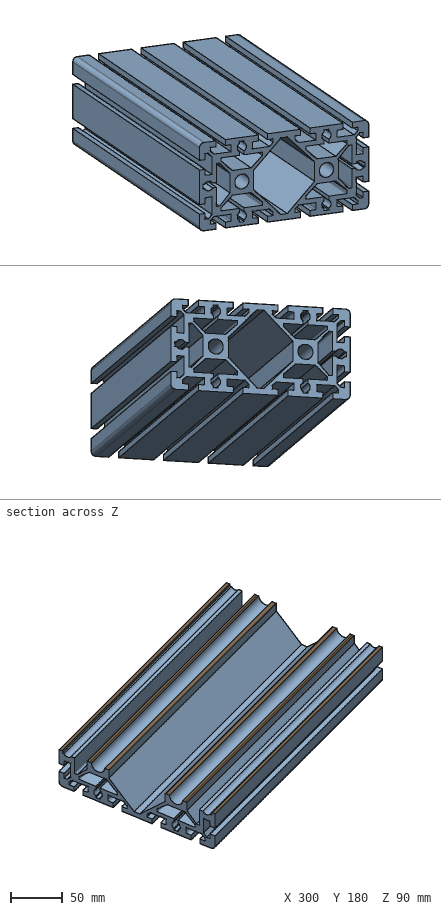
import cadquery as cq

length = 300.0
cell = 90.0
half_cell = cell / 2
corner_radius = 4.8

slot_offset = cell / 4
slot_mouth = 10.0
slot_lip = 6.0
slot_floor = 13.2
slot_inner = 11.5
slot_outer = 33.3
slot_corner_radius = 1.2
slot_web_offset = 2.5

wall_depth = 18.0
groove_tip = 4.0
groove_bore_depth = 10.0
groove_radius = 4.8
neck_half = 2.5

core_half = 12.5
core_hole_diameter = 15.0
web_inner_offset = 2.7
web_outer_offset = 1.8
cavity_half = 22.0
cavity_corner_radius = 0.5

diamond_top = half_cell - slot_lip

cell_centers = (-half_cell, half_cell)


def prism(outline):
    """Extrude a closed YZ outline over the full length."""
    return outline.close().extrude(length)


def section_plane():
    return cq.Workplane("YZ", origin=(-length / 2, 0, 0))


def t_slot():
    """T-slot on the +Z face, on the +Y side of a cell centred on the axis."""
    mouth_near = slot_offset - slot_mouth / 2
    mouth_far = slot_offset + slot_mouth / 2
    lip = half_cell - slot_lip
    floor = half_cell - slot_floor
    slot = prism(
        section_plane()
        .moveTo(mouth_near, half_cell)
        .lineTo(mouth_near, lip)
        .lineTo(slot_inner, lip)
        .lineTo(slot_inner, floor)
        .lineTo(floor - slot_web_offset, floor)
        .lineTo(slot_outer, slot_outer + slot_web_offset)
        .lineTo(slot_outer, lip)
        .lineTo(mouth_far, lip)
        .lineTo(mouth_far, half_cell)
    )
    inner_corner = cq.selectors.NearestToPointSelector((0, slot_inner, lip))
    return slot.edges("|X").edges(inner_corner).fillet(slot_corner_radius)


def keyhole_groove():
    """Narrow groove from the cavity into the wall, widened midway by a round bore."""
    wall = half_cell - wall_depth
    tip = half_cell - groove_tip
    neck = prism(
        section_plane()
        .moveTo(-neck_half, wall)
        .lineTo(-neck_half, tip)
        .lineTo(neck_half, tip)
        .lineTo(neck_half, wall)
    )
    bore = section_plane().center(0, half_cell - groove_bore_depth).circle(groove_radius).extrude(length)
    return neck.union(bore)


def core_cavity():
    """Cavity between the core and the +Z wall, bounded by two slanted webs."""
    wall = half_cell - wall_depth
    core_corner = core_half - web_inner_offset
    web_end = cavity_half + web_outer_offset
    cavity = prism(
        section_plane()
        .moveTo(-core_corner, core_half)
        .lineTo(core_corner, core_half)
        .lineTo(cavity_half, web_end)
        .lineTo(cavity_half, wall)
        .lineTo(-cavity_half, wall)
        .lineTo(-cavity_half, web_end)
    )
    return cavity.edges("|X and >Z").fillet(cavity_corner_radius)


def diamond_cavity():
    """Middle cavity between the two cores, with its tips cut flat."""
    side = half_cell - core_half
    side_half = core_half - web_inner_offset
    top_half = side - (diamond_top - side_half)
    return prism(
        section_plane()
        .moveTo(side, -side_half)
        .lineTo(side, side_half)
        .lineTo(top_half, diamond_top)
        .lineTo(-top_half, diamond_top)
        .lineTo(-side, side_half)
        .lineTo(-side, -side_half)
        .lineTo(-top_half, -diamond_top)
        .lineTo(top_half, -diamond_top)
    )


def cell_side_cut():
    """Everything removed behind the +Z face of one cell."""
    slot = t_slot()
    return core_cavity().union(keyhole_groove()).union(slot).union(slot.mirror("XZ"))


result = (
    cq.Workplane("XY")
    .box(length, 2 * cell, cell)
    .edges("|X")
    .fillet(corner_radius)
    .cut(diamond_cavity())
)

side_cut = cell_side_cut()
for center in cell_centers:
    outward_turn = -90 if center > 0 else 90
    for turn in (0, 180, outward_turn):
        cut = side_cut.rotate((0, 0, 0), (1, 0, 0), turn)
        result = result.cut(cut.translate((0, center, 0)))
    core_hole = section_plane().center(center, 0).circle(core_hole_diameter / 2).extrude(length)
    result = result.cut(core_hole)